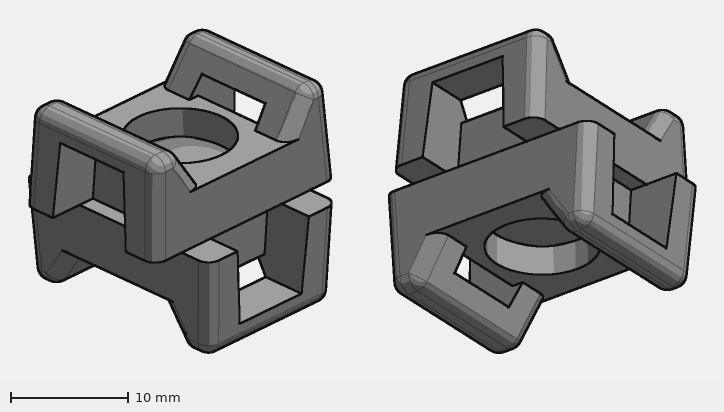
import cadquery as cq
import math

saddle_height = 9.5
base_half_length = 11.08
base_half_width = 7.85
top_half_width = 7.5
top_min_y, top_max_y = -10.68, 10.25

block_height = 5.32
block_half_length = 6.65

arm_foot_y = 5.12
arm_lean = 0.67
arm_round = 1.25

slot_wall_y = 6.2
slot_height = 7.35
slot_base_width = 8.69
slot_top_width = 7.53

hole_diameter = 9.85
plug_rim_height = 2.48
dome_height = 1.65


def drafted_envelope():
    """Tapered block that bounds a whole saddle, its +Y end leaning in more than its -Y end."""
    return (
        cq.Workplane("XY")
        .rect(2 * base_half_width, 2 * base_half_length)
        .workplane(offset=saddle_height)
        .moveTo(0, (top_min_y + top_max_y) / 2)
        .rect(2 * top_half_width, top_max_y - top_min_y)
        .loft(ruled=True)
    )


def arm(side):
    """Rounded arm at the +Y end (side = 1) or the -Y end (side = -1)."""
    inner_base_y = arm_foot_y - arm_lean * block_height
    inner_top_y = inner_base_y + arm_lean * saddle_height
    wedge = (
        cq.Workplane("YZ")
        .polyline([
            (side * inner_base_y, 0),
            (side * base_half_length, 0),
            (side * base_half_length, saddle_height),
            (side * inner_top_y, saddle_height),
        ])
        .close()
        .extrude(base_half_width, both=True)
    )
    return drafted_envelope().intersect(wedge).edges("not <Z").fillet(arm_round)


def central_block():
    """Middle of the saddle, with sharp edges and a flat top."""
    bounds = cq.Workplane("XY").box(
        2 * base_half_width, 2 * block_half_length, block_height, centered=(True, True, False)
    )
    return drafted_envelope().intersect(bounds)


def strap_slot(side):
    """Tapered slot through an arm, stepped over the top corner of the central block."""
    slot = (
        cq.Workplane("XZ")
        .polyline([
            (-slot_base_width / 2, 0),
            (slot_base_width / 2, 0),
            (slot_top_width / 2, slot_height),
            (-slot_top_width / 2, slot_height),
        ])
        .close()
        .extrude(-side * base_half_length)
    )
    kept_block = cq.Workplane("XY").box(
        2 * base_half_width, 2 * slot_wall_y, block_height, centered=(True, True, False)
    )
    return slot.cut(kept_block)


def saddle():
    """Upper saddle, long along Y, with two arms, two strap slots and a plug hole."""
    body = central_block()
    for side in (-1, 1):
        body = body.union(arm(side))
    for side in (-1, 1):
        body = body.cut(strap_slot(side))
    plug_hole = cq.Workplane("XY").circle(hole_diameter / 2).extrude(block_height)
    return body.cut(plug_hole)


def domed_plug():
    """Round plug centered on the joint plane, with a spherical dome on each end."""
    radius = hole_diameter / 2
    crown_z = plug_rim_height + dome_height
    dome_radius = (radius**2 + dome_height**2) / (2 * dome_height)
    mid_x = radius / 2
    mid_z = crown_z - dome_radius + math.sqrt(dome_radius**2 - mid_x**2)
    return (
        cq.Workplane("XZ")
        .moveTo(0, -crown_z)
        .threePointArc((mid_x, -mid_z), (radius, -plug_rim_height))
        .lineTo(radius, plug_rim_height)
        .threePointArc((mid_x, mid_z), (0, crown_z))
        .close()
        .revolve(360, (0, 0, 0), (0, 1, 0))
    )


upper_saddle = saddle()

lower_saddle = upper_saddle.rotate((0, 0, 0), (1, -1, 0), 180)

plug = domed_plug()

result = cq.Compound.makeCompound([upper_saddle.val(), lower_saddle.val(), plug.val()])